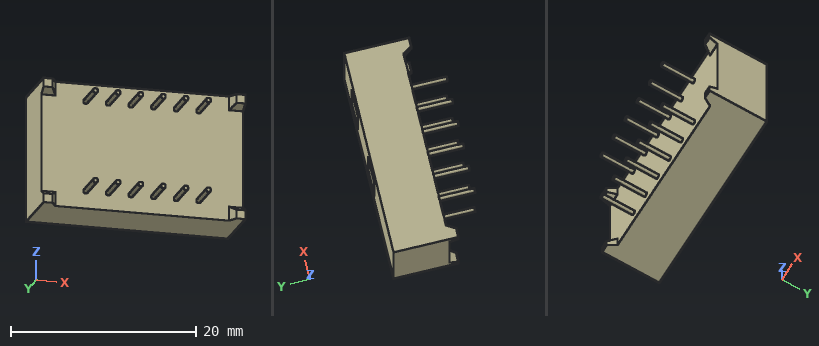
import cadquery as cq

housing_width = 22.6
housing_depth = 6.22
housing_height = 14.1

foot_base = 1.58
foot_tip = 1.0
foot_height = 1.0

pin_diameter = 0.52
pin_length = 4.0
pin_pitch = 2.53
pins_per_row = 6
row_spacing = 10.17

pad_width = 2.92
pad_height = 7.0
pad_thickness = 0.05
first_pad_x = -1.18
pad_pitch = 7.57
pad_count = 2


def make_housing():
    return cq.Workplane("XY").box(
        housing_width, housing_depth, housing_height, centered=(True, False, True)
    )


def make_foot(side_x, side_z):
    """Foot flush with two outer sides and sloping on its two inner sides."""

    def corner_offset(size):
        return side_x * (housing_width - size) / 2, side_z * (housing_height - size) / 2

    base_x, base_z = corner_offset(foot_base)
    tip_x, tip_z = corner_offset(foot_tip)
    return (
        cq.Workplane("XZ")
        .center(base_x, base_z)
        .rect(foot_base, foot_base)
        .workplane(offset=foot_height)
        .center(tip_x - base_x, tip_z - base_z)
        .rect(foot_tip, foot_tip)
        .loft(ruled=True)
    )


def make_pins():
    return (
        cq.Workplane("XZ")
        .rarray(pin_pitch, row_spacing, pins_per_row, 2)
        .circle(pin_diameter / 2)
        .extrude(pin_length)
    )


def make_pads():
    centers = [(first_pad_x + i * pad_pitch, 0) for i in range(pad_count)]
    return (
        cq.Workplane("XZ", origin=(0, housing_depth, 0))
        .pushPoints(centers)
        .rect(pad_width, pad_height)
        .extrude(-pad_thickness)
    )


result = make_housing()
for side_x in (-1, 1):
    for side_z in (-1, 1):
        result = result.union(make_foot(side_x, side_z))
result = result.union(make_pins()).union(make_pads()).clean()